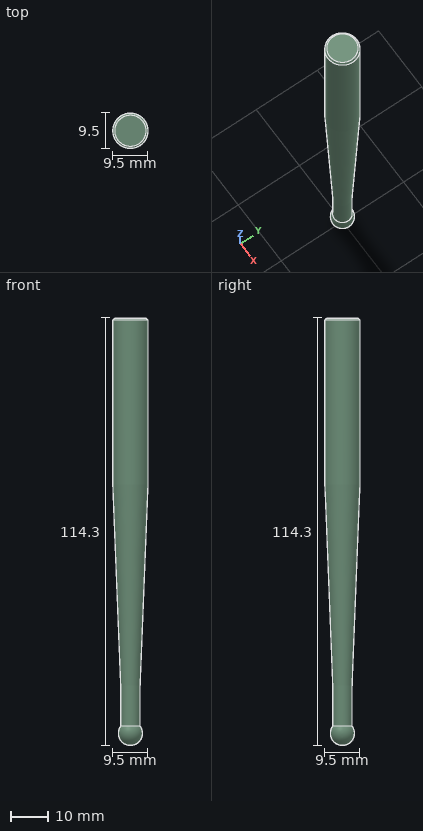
import cadquery as cq
import math

total_length = 114.3
ball_diameter = 6.5
ball_radius = ball_diameter / 2

shank_diameter = 9.5
shank_length = 44.6
shank_chamfer = 0.6

neck_diameter = 5.3
neck_radius = neck_diameter / 2
taper_length = 53.7

taper_top = total_length - shank_length
neck_top = taper_top - taper_length
ball_center = ball_radius
neck_bottom = ball_center + math.sqrt(ball_radius**2 - neck_radius**2)


def make_holder():
    """Shank, taper and neck as one solid of revolution about Z."""
    shank_radius = shank_diameter / 2
    return (
        cq.Workplane("XZ")
        .moveTo(0, neck_bottom)
        .lineTo(neck_radius, neck_bottom)
        .lineTo(neck_radius, neck_top)
        .lineTo(shank_radius, taper_top)
        .lineTo(shank_radius, total_length - shank_chamfer)
        .lineTo(shank_radius - shank_chamfer, total_length)
        .lineTo(0, total_length)
        .close()
        .revolve(360, (0, 0), (0, 1))
    )


def make_ball_tip():
    """Sphere cut flat where it sits against the end of the neck."""
    return (
        cq.Workplane("XZ")
        .moveTo(0, 0)
        .threePointArc((ball_radius, ball_center), (neck_radius, neck_bottom))
        .lineTo(0, neck_bottom)
        .close()
        .revolve(360, (0, 0), (0, 1))
    )


holder = make_holder()
ball_tip = make_ball_tip()

result = cq.Compound.makeCompound([holder.val(), ball_tip.val()])